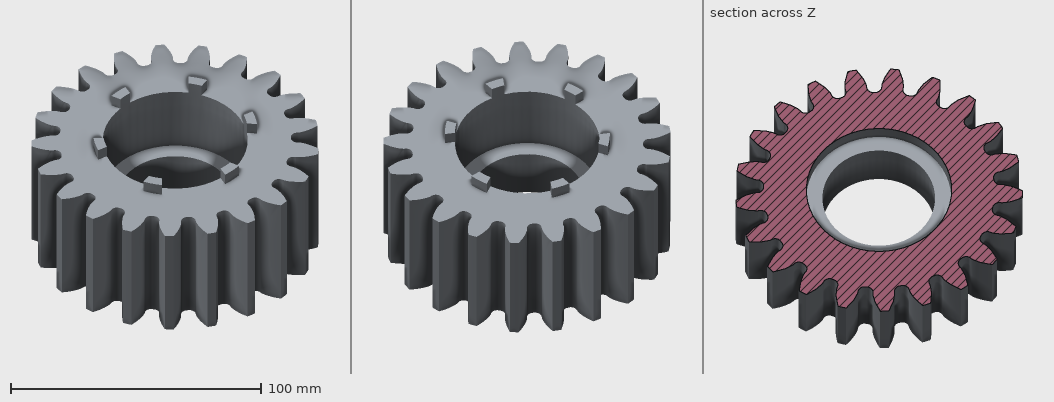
import cadquery as cq
import math

TOOTH_COUNT = 21
OUTER_DIAMETER = 115.0
OUTER_RADIUS = OUTER_DIAMETER / 2
PRESSURE_ANGLE = math.radians(20)
MODULE = OUTER_DIAMETER / (TOOTH_COUNT + 2)
ROOT_CLEARANCE = MODULE / 4
PITCH_RADIUS = MODULE * TOOTH_COUNT / 2
ROOT_RADIUS = PITCH_RADIUS - MODULE - ROOT_CLEARANCE
BASE_RADIUS = PITCH_RADIUS * math.cos(PRESSURE_ANGLE)
ROOT_FILLET = 2.5
TOOTH_PITCH = 2 * math.pi / TOOTH_COUNT
FLANK_INTERVALS = 6
FIRST_TOOTH_ANGLE = math.radians(9.4)

FACE_WIDTH = 50.0
BORE_RADIUS = 22.5
COUNTERBORE_RADIUS = 29.0
COUNTERBORE_DEPTH = 28.7

KEY_COUNT = 6
KEY_HEIGHT = 5.0
KEY_OUTER_RADIUS = 33.0
KEY_INNER_WIDTH = 5.4
KEY_OUTER_WIDTH = 7.7
FIRST_KEY_ANGLE = 30


def polar(radius, angle):
    """Point in the XY plane at a radius and an angle from +X."""
    return (radius * math.cos(angle), radius * math.sin(angle))


def involute_function(pressure_angle):
    """Angle swept by an involute, up to the point with this pressure angle."""
    return math.tan(pressure_angle) - pressure_angle


def half_tooth_angle(radius):
    """Half the angle a tooth spans at a radius on its involute flank."""
    half_at_base = TOOTH_PITCH / 4 + involute_function(PRESSURE_ANGLE)
    return half_at_base - involute_function(math.acos(BASE_RADIUS / radius))


def flank_points(center_angle, side):
    """Points along an involute flank, from base circle to tip; side is -1 or +1."""
    tip_roll = math.sqrt((OUTER_RADIUS / BASE_RADIUS) ** 2 - 1)
    points = []
    for i in range(FLANK_INTERVALS + 1):
        radius = BASE_RADIUS * math.hypot(1, tip_roll * i / FLANK_INTERVALS)
        points.append(polar(radius, center_angle + side * half_tooth_angle(radius)))
    return points


def gear_blank():
    """Solid spur gear: involute flanks, radial below the base circle, filleted roots."""
    fillet_center_radius = ROOT_RADIUS + ROOT_FILLET
    fillet_span = math.asin(ROOT_FILLET / fillet_center_radius)
    fillet_start_radius = fillet_center_radius * math.cos(fillet_span)
    base_half_angle = half_tooth_angle(BASE_RADIUS)
    root_half_angle = base_half_angle + fillet_span

    outline = cq.Workplane("XY").moveTo(*polar(ROOT_RADIUS, FIRST_TOOTH_ANGLE - root_half_angle))
    for tooth in range(TOOTH_COUNT):
        center = FIRST_TOOTH_ANGLE + tooth * TOOTH_PITCH
        rising = flank_points(center, -1)
        falling = flank_points(center, 1)[::-1]
        next_center = center + TOOTH_PITCH
        outline = (
            outline
            .radiusArc(polar(fillet_start_radius, center - base_half_angle), ROOT_FILLET)
            .lineTo(*rising[0])
            .spline(rising[1:], includeCurrent=True)
            .threePointArc(polar(OUTER_RADIUS, center), falling[0])
            .spline(falling[1:], includeCurrent=True)
            .lineTo(*polar(fillet_start_radius, center + base_half_angle))
            .radiusArc(polar(ROOT_RADIUS, center + root_half_angle), ROOT_FILLET)
            .threePointArc(
                polar(ROOT_RADIUS, center + TOOTH_PITCH / 2),
                polar(ROOT_RADIUS, next_center - root_half_angle),
            )
        )
    return outline.close().extrude(FACE_WIDTH)


def key():
    """Flared key along +X, between the counterbore circle and the key outer circle."""
    inner_half = KEY_INNER_WIDTH / 2
    outer_half = KEY_OUTER_WIDTH / 2
    inner_x = math.sqrt(COUNTERBORE_RADIUS**2 - inner_half**2)
    outer_x = math.sqrt(KEY_OUTER_RADIUS**2 - outer_half**2)
    return (
        cq.Workplane("XY", origin=(0, 0, FACE_WIDTH))
        .moveTo(inner_x, -inner_half)
        .lineTo(outer_x, -outer_half)
        .threePointArc((KEY_OUTER_RADIUS, 0), (outer_x, outer_half))
        .lineTo(inner_x, inner_half)
        .threePointArc((COUNTERBORE_RADIUS, 0), (inner_x, -inner_half))
        .close()
        .extrude(KEY_HEIGHT)
    )


result = (
    gear_blank()
    .faces(">Z")
    .workplane(origin=(0, 0, FACE_WIDTH))
    .cboreHole(2 * BORE_RADIUS, 2 * COUNTERBORE_RADIUS, COUNTERBORE_DEPTH)
)
for i in range(KEY_COUNT):
    key_angle = FIRST_KEY_ANGLE + i * 360 / KEY_COUNT
    result = result.union(key().rotate((0, 0, 0), (0, 0, 1), key_angle))